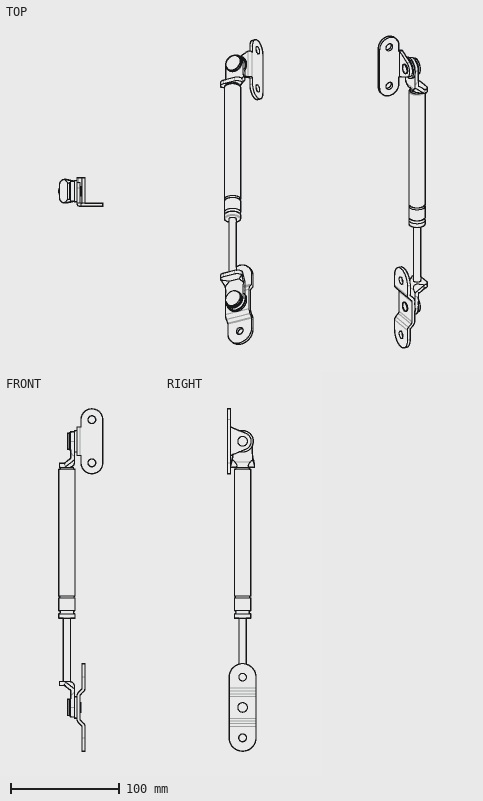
import cadquery as cq
import math


total_height = 316.0
total_width = 40.8
total_depth = 26.5
sheet = 3.0
mount_hole_radius = 3.5

tube_diameter = 15.2
tube_radius = tube_diameter / 2
tube_end_fillet = 0.5
tube_bottom = 122.5
tube_top = 260.5
neck_radius = 6.3
narrow_groove_z = 142.2
narrow_groove_radius = 1.0
wide_groove_z = 128.3
wide_groove_radius = 1.42
rod_diameter = 7.0
rod_radius = rod_diameter / 2

knee_front = 3.5
knee_sheet = 3.8
washer_thickness = 2.0
washer_diameter = 20.0
washer_radius = washer_diameter / 2
knee_back = knee_front + knee_sheet
mount_front = knee_back + washer_thickness
mount_back = mount_front + sheet

head_radius = 7.5
collar_radius = 8.0
collar_thickness = 1.0
head_thickness = 3.0
shank_radius = 4.5
shank_protrusion = 1.0

knee_reach = 24.0
shelf_end = -7.0
shelf_half_width = 11.0
shelf_corner_radius = 5.5
eye_diameter = 18.0
eye_radius = eye_diameter / 2
bend_radius = 5.0
gusset_leg = 6.0
corner_cut_leg = 9.0
taper_start = 16.7
taper_end = 5.0

strap_width = 25.0
strap_length = 81.0
strap_offset = 4.7
raised_half_length = 12.5
raised_bend_radius = 3.0
foot_bend_radius = 1.0

plate_right = total_width - tube_radius
plate_radius = 10.0
plate_height = 60.0
plate_hole_spacing = 39.8
plate_back = strap_width / 2 - total_depth
tab_half_height = 13.3
tab_end_radius = 8.0
tab_bend_radius = 2.97

lower_rivet_z = strap_length / 2
upper_rivet_z = total_height - plate_height / 2


def disc(radius, x_start, x_end, z):
    """Cylinder along X."""
    return (
        cq.Workplane("YZ", origin=(x_start, 0, z))
        .circle(radius)
        .extrude(x_end - x_start)
    )


def tetrahedron(corner, leg_x, leg_y, leg_z):
    """Corner of a box cut off by a plane: three perpendicular legs from one corner."""
    base = cq.Vector(*corner)
    points = [
        base,
        base + cq.Vector(leg_x, 0, 0),
        base + cq.Vector(0, leg_y, 0),
        base + cq.Vector(0, 0, leg_z),
    ]
    faces = []
    for skipped in range(4):
        triangle = [point for i, point in enumerate(points) if i != skipped]
        faces.append(cq.Face.makeFromWires(cq.Wire.makePolygon(triangle, close=True)))
    return cq.Workplane(cq.Solid.makeSolid(cq.Shell.makeShell(faces)))


def make_tube():
    tube = (
        cq.Workplane("XY", origin=(0, 0, tube_bottom))
        .circle(tube_radius)
        .extrude(tube_top - tube_bottom)
        .faces("<Z or >Z")
        .edges()
        .fillet(tube_end_fillet)
    )
    neck_top = upper_rivet_z - knee_reach
    neck = cq.Workplane("XY", origin=(0, 0, tube_top)).circle(neck_radius).extrude(neck_top - tube_top)
    tube = tube.union(neck)
    for z, radius in ((narrow_groove_z, narrow_groove_radius), (wide_groove_z, wide_groove_radius)):
        ring = cq.Solid.makeTorus(tube_radius, radius, cq.Vector(0, 0, z))
        tube = tube.cut(cq.Workplane(ring))
    return tube


def make_rod():
    rod_bottom = lower_rivet_z + knee_reach
    return (
        cq.Workplane("XY", origin=(0, 0, rod_bottom))
        .circle(rod_radius)
        .extrude(tube_bottom - rod_bottom)
    )


def make_knee():
    """Knee with its rivet axis at Z = 0 and its shelf above, reaching toward -X."""
    shelf_bottom = knee_reach - knee_sheet
    knee = (
        cq.Workplane("XZ")
        .moveTo(knee_front, -eye_radius)
        .lineTo(knee_back, -eye_radius)
        .lineTo(knee_back, knee_reach)
        .lineTo(shelf_end, knee_reach)
        .lineTo(shelf_end, shelf_bottom)
        .lineTo(knee_front, shelf_bottom)
        .close()
        .extrude(shelf_half_width, both=True)
    )
    knee = knee.edges("|Y and >X and >Z").fillet(bend_radius)
    knee = knee.edges("|Z and <X").fillet(shelf_corner_radius)

    for side in (-1, 1):
        y = side * shelf_half_width
        knee = knee.union(
            tetrahedron((knee_front, y, shelf_bottom), -gusset_leg, -side * gusset_leg, -gusset_leg)
        )
        knee = knee.cut(
            tetrahedron((knee_back, y, knee_reach), -corner_cut_leg, -side * corner_cut_leg, -corner_cut_leg)
        )

    far = 2 * knee_reach
    diagonal = cq.Plane(origin=(0, 0, 0), xDir=(1, 0, -1), normal=(1, 0, 1))
    outline = (
        cq.Workplane(diagonal)
        .polyline([
            (-far, -shelf_half_width),
            (-taper_start, -shelf_half_width),
            (-taper_end, -eye_radius),
            (far, -eye_radius),
            (far, eye_radius),
            (-taper_end, eye_radius),
            (-taper_start, shelf_half_width),
            (-far, shelf_half_width),
        ])
        .close()
        .extrude(far, both=True)
    )
    eye = disc(eye_radius, shelf_end, knee_back, 0)
    above_eye = cq.Workplane("XY").rect(far, far).extrude(far)
    knee = knee.intersect(outline).intersect(above_eye.union(eye))
    return knee.cut(disc(shank_radius, knee_front, knee_back, 0))


def make_washer(z):
    return disc(washer_radius, knee_back, mount_front, z).cut(disc(shank_radius, knee_back, mount_front, z))


def make_rivet(z):
    head = disc(head_radius, knee_front - head_thickness, knee_front, z)
    collar = disc(collar_radius, knee_front - collar_thickness, knee_front, z)
    return head.union(collar).union(disc(shank_radius, knee_front, mount_back + shank_protrusion, z))


def make_lower_mount():
    miter = sheet * math.tan(math.pi / 8)
    step_end = raised_half_length + strap_offset
    half_length = strap_length / 2
    foot_front = mount_front + strap_offset
    front_bends = [(mount_front, raised_half_length), (foot_front, step_end)]
    back_bends = [(mount_back, raised_half_length - miter), (foot_front + sheet, step_end - miter)]

    upper_half = (
        [(mount_front, 0)] + front_bends + [(foot_front, half_length), (foot_front + sheet, half_length)]
        + back_bends[::-1] + [(mount_back, 0)]
    )
    strap = cq.Workplane("XZ").polyline(upper_half).close().extrude(strap_width / 2, both=True)
    bend_radii = (
        (front_bends[0], raised_bend_radius + sheet),
        (front_bends[1], foot_bend_radius),
        (back_bends[0], raised_bend_radius),
        (back_bends[1], foot_bend_radius + sheet),
    )
    for (x, z), radius in bend_radii:
        strap = strap.edges(cq.selectors.NearestToPointSelector((x, 0, z))).fillet(radius)
    strap = strap.union(strap.mirror("XY")).translate((0, 0, lower_rivet_z))

    end_spacing = strap_length - strap_width
    strap_face = cq.Workplane("YZ", origin=(mount_front, 0, lower_rivet_z))
    depth = strap_offset + sheet
    outline = strap_face.slot2D(strap_length, strap_width, 90).extrude(depth)
    holes = strap_face.rarray(3.2, end_spacing, 1, 2).circle(mount_hole_radius).extrude(depth)
    strap = strap.intersect(outline).cut(holes)
    return strap.cut(disc(shank_radius, mount_front, mount_back, lower_rivet_z))


def make_upper_mount():
    plate_x = plate_right - plate_radius
    plate_face = cq.Workplane("XZ", origin=(plate_x, plate_back + sheet, upper_rivet_z))
    plate = plate_face.slot2D(plate_height, 2 * plate_radius, 90).extrude(sheet)

    joint = (
        cq.Workplane("XZ", origin=(0, plate_back + sheet, upper_rivet_z))
        .moveTo((mount_front + plate_x) / 2, 0)
        .rect(plate_x - mount_front, 2 * tab_half_height)
        .extrude(sheet)
    )

    root_y = plate_back + sheet
    reach = math.hypot(root_y, tab_half_height)
    tangent_angle = math.atan2(tab_half_height, root_y) - math.acos(tab_end_radius / reach)
    tangent_y = tab_end_radius * math.cos(tangent_angle)
    tangent_z = tab_end_radius * math.sin(tangent_angle)
    tab = (
        cq.Workplane("YZ", origin=(mount_front, 0, upper_rivet_z))
        .moveTo(plate_back, -tab_half_height)
        .lineTo(root_y, -tab_half_height)
        .lineTo(tangent_y, -tangent_z)
        .threePointArc((tab_end_radius, 0), (tangent_y, tangent_z))
        .lineTo(root_y, tab_half_height)
        .lineTo(plate_back, tab_half_height)
        .close()
        .extrude(sheet)
    )
    bent = joint.union(tab).edges("|Z and <X and <Y").fillet(tab_bend_radius)
    holes = plate_face.rarray(3.2, plate_hole_spacing, 1, 2).circle(mount_hole_radius).extrude(sheet)
    return plate.union(bent).cut(holes).cut(disc(shank_radius, mount_front, mount_back, upper_rivet_z))


tube = make_tube()
rod = make_rod()
knee = make_knee()
lower_knee = knee.translate((0, 0, lower_rivet_z))
upper_knee = knee.mirror("XY").translate((0, 0, upper_rivet_z))
lower_mount = make_lower_mount()
upper_mount = make_upper_mount()

joint_heights = (lower_rivet_z, upper_rivet_z)
washers = [make_washer(z).val() for z in joint_heights]
rivets = [make_rivet(z).val() for z in joint_heights]

result = cq.Compound.makeCompound([
    tube.val(),
    rod.val(),
    lower_knee.val(),
    upper_knee.val(),
    lower_mount.val(),
    upper_mount.val(),
    *washers,
    *rivets,
])